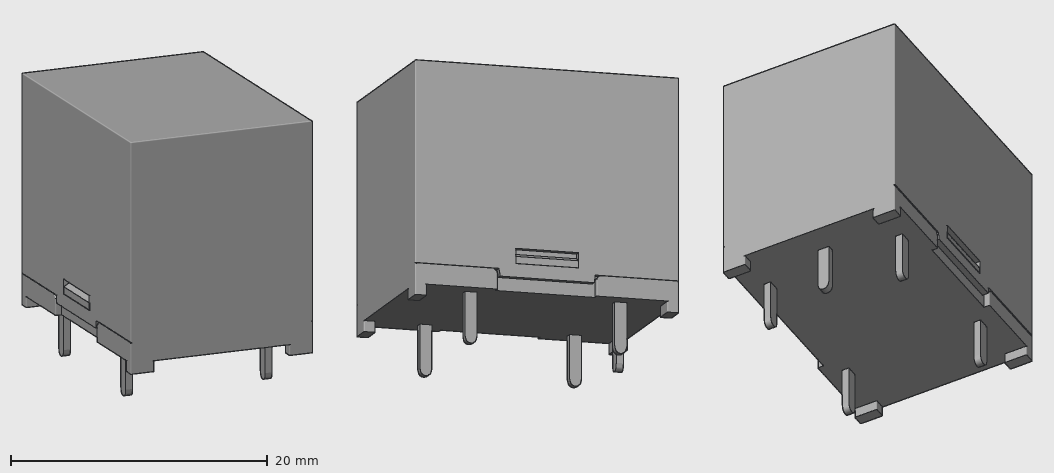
import cadquery as cq

LENGTH = 21.5
WIDTH = 15.45
HEIGHT = 22.0
EDGE_RADIUS = 0.09

FOOT_Z = 3.21
BASE_Z = 4.1
TAB_Z = 5.15
SEAM_Z = 5.76

FOOT_LENGTH = 0.92
FOOT_WIDTH = 1.98

RECESS_DEPTH = 0.5
RECESS_HALF_LENGTH = 4.05
RECESS_CORNER_CHAMFER = 0.29
TAB_TOP_HALF_LENGTH = 3.94
TAB_BOTTOM_HALF_LENGTH = 3.83

WINDOW_LENGTH = 5.1
WINDOW_TOP_Z = 7.45
WINDOW_BOTTOM_Z = 6.25
LATCH_BACK_Z = 7.08
LATCH_FRONT_Z = 6.82
LATCH_SETBACK = 0.05

PIN_WIDTH = 1.0
PIN_THICKNESS = 0.6
PIN_TAPER_Z = 0.6
PIN_ROUND_Z = 0.26
PIN_ROUND_WIDTH = 0.84
PIN_EMBED = 0.22
PIN_ROW_Y = 5.92
PIN_ROW_X = (-6.47, 5.75)
COMMON_PIN_X = -8.18


def extrude_inward(outline):
    """Prism from an XZ outline on the -Y face, as deep as the base recess."""
    return (
        cq.Workplane("XZ", origin=(0, -WIDTH / 2, 0))
        .polyline(outline)
        .close()
        .extrude(-RECESS_DEPTH)
    )


def make_window():
    """Space of the latch window in the -Y side, above and in front of the latch."""
    face_y = -WIDTH / 2
    back_y = face_y + RECESS_DEPTH
    latch_y = face_y + LATCH_SETBACK
    profile = [
        (face_y, WINDOW_TOP_Z),
        (back_y, WINDOW_TOP_Z),
        (back_y, LATCH_BACK_Z),
        (latch_y, LATCH_FRONT_Z),
        (latch_y, WINDOW_BOTTOM_Z),
        (face_y, WINDOW_BOTTOM_Z),
    ]
    return cq.Workplane("YZ").polyline(profile).close().extrude(WINDOW_LENGTH / 2, both=True)


def make_cover():
    """Rounded box above the joint, with a tapered tab hanging from each long side."""
    cover = (
        cq.Workplane("XY")
        .workplane(offset=SEAM_Z)
        .rect(LENGTH, WIDTH)
        .extrude(HEIGHT - SEAM_Z)
        .edges("|Z or >Z")
        .fillet(EDGE_RADIUS)
    )
    tab_outline = [
        (-TAB_TOP_HALF_LENGTH, SEAM_Z),
        (TAB_TOP_HALF_LENGTH, SEAM_Z),
        (TAB_BOTTOM_HALF_LENGTH, TAB_Z),
        (-TAB_BOTTOM_HALF_LENGTH, TAB_Z),
    ]
    tab = extrude_inward(tab_outline)
    window = make_window()
    for feature in (tab, tab.mirror("XZ")):
        cover = cover.union(feature)
    for feature in (window, window.mirror("XZ")):
        cover = cover.cut(feature)
    return cover


def make_base():
    """Base plate with a recess in each long side and rounded rims around its raised blocks."""
    shoulder = RECESS_HALF_LENGTH + RECESS_CORNER_CHAMFER
    half_outline = [
        (RECESS_HALF_LENGTH, BASE_Z),
        (RECESS_HALF_LENGTH, SEAM_Z - RECESS_CORNER_CHAMFER),
        (shoulder, SEAM_Z),
    ]
    mirrored = [(-x, z) for x, z in reversed(half_outline)]
    recess = extrude_inward(half_outline + mirrored)
    return (
        cq.Workplane("XY")
        .workplane(offset=BASE_Z)
        .rect(LENGTH, WIDTH)
        .extrude(SEAM_Z - BASE_Z)
        .cut(recess)
        .cut(recess.mirror("XZ"))
        .faces("<Y or >Y")
        .edges("not <Z")
        .fillet(EDGE_RADIUS)
    )


def make_feet():
    """Four corner feet that reach up to the base."""
    return (
        cq.Workplane("XY")
        .workplane(offset=FOOT_Z)
        .rect(LENGTH - FOOT_LENGTH, WIDTH - FOOT_WIDTH, forConstruction=True)
        .vertices()
        .rect(FOOT_LENGTH, FOOT_WIDTH)
        .extrude(BASE_Z - FOOT_Z)
        .edges("|Z")
        .fillet(EDGE_RADIUS)
    )


def make_pin():
    """Pin centred on the Z axis, its width along X."""
    half_width = PIN_WIDTH / 2
    half_round = PIN_ROUND_WIDTH / 2
    top_z = BASE_Z + PIN_EMBED
    return (
        cq.Workplane("XZ")
        .moveTo(-half_width, top_z)
        .lineTo(-half_width, PIN_TAPER_Z)
        .lineTo(-half_round, PIN_ROUND_Z)
        .threePointArc((0, 0), (half_round, PIN_ROUND_Z))
        .lineTo(half_width, PIN_TAPER_Z)
        .lineTo(half_width, top_z)
        .close()
        .extrude(PIN_THICKNESS / 2, both=True)
    )


pin = make_pin()
base = make_base().union(make_feet())
for pin_x in PIN_ROW_X:
    for pin_y in (-PIN_ROW_Y, PIN_ROW_Y):
        base = base.union(pin.translate((pin_x, pin_y, 0)))

common_pin = pin.rotate((0, 0, 0), (0, 0, 1), 90).translate((COMMON_PIN_X, 0, 0))
base = base.union(common_pin)

result = base.union(make_cover(), clean=False)